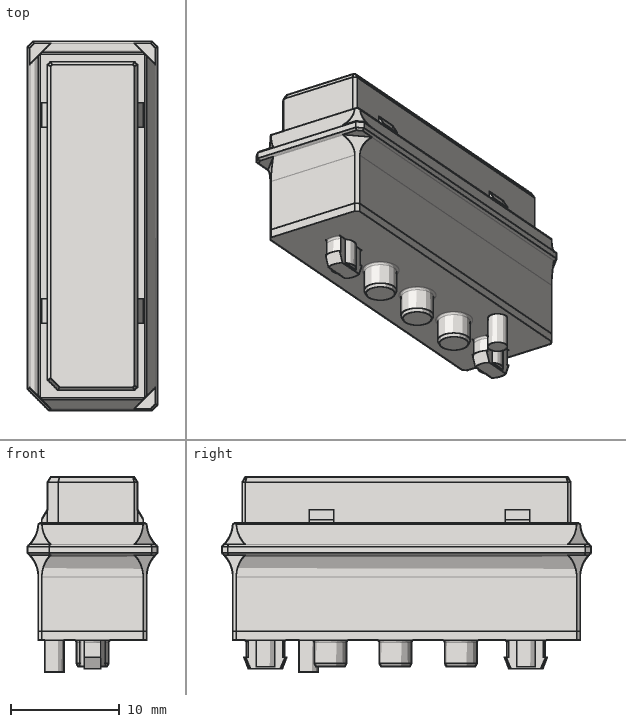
import cadquery as cq
import math

base_top = 0.8
flange_bottom = 7.82
flange_top = 8.8
shoulder_top = 10.78
cap_top = 15.03

flange_width = 12.0
flange_length = 34.0
flange_edge = 0.2
flange_corner = 0.55
flange_key_corner = 2.0

block_width = 10.0
flange_overhang = (flange_width - block_width) / 2
block_length = flange_length - 2 * flange_overhang
block_corner = 0.35
cove_height = 1.97
cove_reach = flange_overhang - flange_edge
cove_radius = (cove_height**2 + cove_reach**2) / (2 * cove_reach)
shoulder_edge_height = 0.15
shoulder_edge_inset = 0.2

cap_width = 8.3
cap_length = 30.25
cap_corner = 0.3
cap_key_corner = 1.0
cap_edge_height = 0.5
cap_edge_inset = 0.3

tab_length = 2.25
tab_reach = 4.7
tab_wall_top = 11.1
tab_top = 12.0
tab_positions = (10.2, -7.82)

peg_radius = 1.5
peg_height = 2.45
peg_tip_height = 0.3
peg_tip_inset = 0.17
peg_positions = (5.0, -1.02, -7.0)

snap_core_radius = 1.15
snap_web_thickness = 1.55
snap_radius = 1.77
snap_barb_radius = 1.97
snap_tip_radius = 1.55
snap_barb_height = 1.6
snap_height = 2.65
snap_positions = (10.98, -13.0)

pin_diameter = 1.8
pin_height = 2.95
pin_position = (-3.5, -9.0)

root_fillet = 0.2


def corner_cut_plate(width, length, corner, key_corner, bottom, top):
    """Upright plate with four chamfered corners; the (-X, -Y) corner is cut by key_corner."""
    x = width / 2
    y = length / 2
    outline = [
        (-x + key_corner, -y),
        (x - corner, -y),
        (x, -y + corner),
        (x, y - corner),
        (x - corner, y),
        (-x + corner, y),
        (-x, y - corner),
        (-x, -y + key_corner),
    ]
    return cq.Workplane("XY").workplane(offset=bottom).polyline(outline).close().extrude(top - bottom)


def coved_bar(plane, wall, bar_length):
    """Bar along the plane's normal with its walls at +/-wall, flaring in coves towards the flange."""
    cove_end = wall + cove_reach
    cove_start = flange_bottom - cove_height
    shoulder_side = shoulder_top - shoulder_edge_height
    cove_center = wall + cove_radius
    side_angle = math.asin((shoulder_side - flange_top - cove_height) / cove_radius)
    side = cove_center - cove_radius * math.cos(side_angle)
    top = side - shoulder_edge_inset
    return (
        cq.Workplane(plane)
        .moveTo(-wall, base_top)
        .lineTo(wall, base_top)
        .lineTo(wall, cove_start)
        .radiusArc((cove_end, flange_bottom), cove_radius)
        .lineTo(cove_end, flange_top)
        .radiusArc((side, shoulder_side), cove_radius)
        .lineTo(top, shoulder_top)
        .lineTo(-top, shoulder_top)
        .lineTo(-side, shoulder_side)
        .radiusArc((-cove_end, flange_top), cove_radius)
        .lineTo(-cove_end, flange_bottom)
        .radiusArc((-wall, cove_start), cove_radius)
        .close()
        .extrude(bar_length / 2, both=True)
    )


def make_block():
    """Mitred coved block whose four corners are cut by upright 45 degree planes."""
    across = coved_bar("XZ", block_width / 2, flange_length)
    along = coved_bar("YZ", block_length / 2, flange_width)
    cove_corner = block_corner + 2 * flange_overhang
    corners = corner_cut_plate(flange_width, flange_length, cove_corner, cove_corner, base_top, shoulder_top)
    return across.intersect(along).intersect(corners)


def make_flange():
    flange = corner_cut_plate(
        flange_width, flange_length, flange_corner, flange_key_corner, flange_bottom, flange_top
    )
    return flange.faces("<Z or >Z").edges().chamfer(flange_edge)


def make_cap():
    cap = corner_cut_plate(cap_width, cap_length, cap_corner, cap_key_corner, shoulder_top, cap_top)
    return cap.faces(">Z").chamfer(cap_edge_height, cap_edge_inset)


def make_tabs():
    """Wedge pairs, each joined through the cap into one crosswise bar."""
    cap_side = cap_width / 2
    profile = [
        (-tab_reach, shoulder_top),
        (tab_reach, shoulder_top),
        (tab_reach, tab_wall_top),
        (cap_side, tab_top),
        (-cap_side, tab_top),
        (-tab_reach, tab_wall_top),
    ]
    bar = cq.Workplane("XZ").polyline(profile).close().extrude(tab_length / 2, both=True)
    tabs = cq.Workplane("XY")
    for y in tab_positions:
        tabs = tabs.add(bar.translate((0, y, 0)))
    return tabs.combine()


def make_housing():
    return make_block().union(make_flange()).union(make_cap()).union(make_tabs())


def revolved_peg(radius, lower_profile):
    """Round peg hanging from Z = 0 with a root fillet; lower_profile lists (radius, z) down to its tip."""
    profile = (
        cq.Workplane("XZ")
        .lineTo(radius + root_fillet, 0)
        .radiusArc((radius, -root_fillet), -root_fillet)
    )
    for point in lower_profile:
        profile = profile.lineTo(*point)
    return profile.lineTo(0, lower_profile[-1][1]).close().revolve(360, (0, 0, 0), (0, 1, 0))


def make_locating_peg():
    return revolved_peg(
        peg_radius,
        [(peg_radius, peg_tip_height - peg_height), (peg_radius - peg_tip_inset, -peg_height)],
    )


def make_snap_peg():
    barbed = revolved_peg(
        snap_radius,
        [
            (snap_radius, -snap_barb_height),
            (snap_barb_radius, -snap_barb_height),
            (snap_tip_radius, -snap_height),
        ],
    )
    web = cq.Workplane("XY").box(
        snap_web_thickness, 2 * snap_barb_radius, snap_height, centered=(True, True, False)
    ).translate((0, 0, -snap_height))
    core = cq.Workplane("XY").circle(snap_core_radius).extrude(-peg_height)
    return barbed.intersect(web).union(core)


def make_base():
    """Base plate that closes the block from below and carries the pegs and the pin."""
    base = corner_cut_plate(block_width, block_length, block_corner, block_corner, 0, base_top)
    for y in peg_positions:
        base = base.union(make_locating_peg().translate((0, y, 0)))
    for y in snap_positions:
        base = base.union(make_snap_peg().translate((0, y, 0)))
    pin = cq.Workplane("XY").center(*pin_position).circle(pin_diameter / 2).extrude(-pin_height)
    return base.union(pin)


housing = make_housing()
base = make_base()

result = cq.Compound.makeCompound([housing.val(), base.val()])